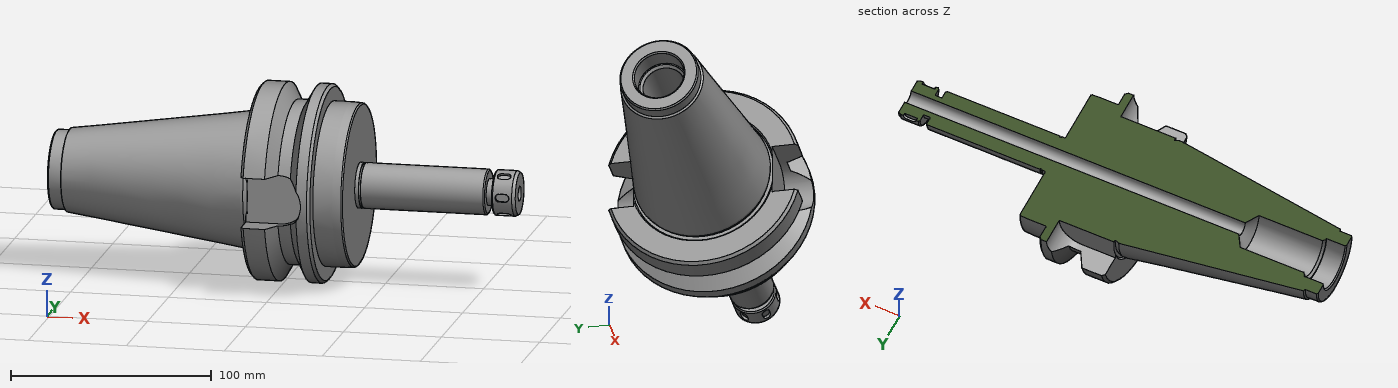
import cadquery as cq
import math

taper_start = 7.3
gauge_line = 101.8
land_end = 103.0
flange_face = 104.7
flange_end = 140.2
collar_land_end = 150.1
collar_end = 155.0
shank_end = 221.2
nut_start = 224.7
overall_length = 236.8

pilot_radius = 40.0 / 2
gauge_radius = 69.9 / 2
taper_slope = 7 / 48
neck_radius = 34.0
flange_radius = 100.0 / 2
vee_root_radius = 41.5
collar_radius = 41.5
collar_tip_radius = 41.2
shank_radius = 23.0 / 2
collet_neck_radius = 13.5 / 2

vee_root_start = 122.0
vee_root_end = 128.3
vee_flank_angle = 30
vee_flank_run = (flange_radius - vee_root_radius) * math.tan(math.radians(vee_flank_angle))

edge_chamfer = 0.7
taper_step_run = 0.5
flange_chamfer = 1.5
nut_tip_length = 1.7
nut_tip_drop = 1.0
face_relief_radius = 36.7
face_relief_depth = 0.7
shank_groove_start = 157.0
shank_groove_width = 1.0
shank_groove_depth = 0.5

bore_mouth_radius = 25.3 / 2
bore_mouth_depth = 11.0
thread_radius = 21.3 / 2
thread_step_radius = 24.0 / 2
thread_end = 47.4
drill_point_angle = 118
coolant_radius = 7.3 / 2

slot_width = 25.8
slot_floor = 70.8 / 2
slot_tip = 135.7

wrench_slot_count = 6
wrench_slot_center = 230.2
wrench_slot_length = 6.9
wrench_slot_width = 4.0
wrench_slot_depth = 1.5


def revolve_about_x(points):
    """Revolve a closed (axial position, radius) outline about the X axis."""
    return cq.Workplane("XY").polyline(points).close().revolve(360, (0, 0, 0), (1, 0, 0))


def turned_body():
    taper_start_radius = gauge_radius - (gauge_line - taper_start) * taper_slope
    shank_groove_end = shank_groove_start + shank_groove_width
    shank_groove_radius = shank_radius - shank_groove_depth
    return revolve_about_x([
        (0, 0),
        (0, pilot_radius - edge_chamfer),
        (edge_chamfer, pilot_radius),
        (taper_start - taper_step_run, pilot_radius),
        (taper_start, taper_start_radius),
        (gauge_line, gauge_radius),
        (land_end, gauge_radius),
        (flange_face + face_relief_depth, neck_radius),
        (flange_face + face_relief_depth, face_relief_radius - face_relief_depth),
        (flange_face, face_relief_radius),
        (flange_face, flange_radius - flange_chamfer),
        (flange_face + flange_chamfer, flange_radius),
        (vee_root_start - vee_flank_run, flange_radius),
        (vee_root_start, vee_root_radius),
        (vee_root_end, vee_root_radius),
        (vee_root_end + vee_flank_run, flange_radius),
        (flange_end - flange_chamfer, flange_radius),
        (flange_end, flange_radius - flange_chamfer),
        (flange_end, collar_radius),
        (collar_land_end, collar_radius),
        (collar_end - edge_chamfer, collar_tip_radius),
        (collar_end, collar_tip_radius - edge_chamfer),
        (collar_end, shank_radius),
        (shank_groove_start, shank_radius),
        (shank_groove_start, shank_groove_radius),
        (shank_groove_end, shank_groove_radius),
        (shank_groove_end, shank_radius),
        (shank_end - edge_chamfer, shank_radius),
        (shank_end, shank_radius - edge_chamfer),
        (shank_end, collet_neck_radius),
        (nut_start, collet_neck_radius),
        (nut_start, shank_radius - edge_chamfer),
        (nut_start + edge_chamfer, shank_radius),
        (overall_length - nut_tip_length, shank_radius),
        (overall_length, shank_radius - nut_tip_drop),
        (overall_length, 0),
    ])


def drawbar_bore():
    cone_length = (thread_radius - coolant_radius) / math.tan(math.radians(drill_point_angle / 2))
    thread_start = bore_mouth_depth + thread_step_radius - thread_radius
    return revolve_about_x([
        (0, 0),
        (0, bore_mouth_radius + edge_chamfer),
        (edge_chamfer, bore_mouth_radius),
        (bore_mouth_depth, bore_mouth_radius),
        (bore_mouth_depth, thread_step_radius),
        (thread_start, thread_radius),
        (thread_end, thread_radius),
        (thread_end + cone_length, coolant_radius),
        (overall_length, coolant_radius),
        (overall_length, 0),
    ])


def drive_slot(side):
    """Round-ended slot open toward the taper, on the side given by the sign of Y."""
    arc_center = slot_tip - slot_width / 2
    half_width = slot_width / 2
    return (
        cq.Workplane("XZ", origin=(0, side * slot_floor, 0))
        .moveTo(land_end, -half_width)
        .lineTo(arc_center, -half_width)
        .threePointArc((slot_tip, 0), (arc_center, half_width))
        .lineTo(land_end, half_width)
        .close()
        .extrude(-side * flange_radius)
    )


def wrench_slot(angle):
    """Cutter for an obround pocket in the nut, at an angle about X measured from -Y."""
    return (
        cq.Workplane("XZ", origin=(wrench_slot_center, wrench_slot_depth - shank_radius, 0))
        .slot2D(wrench_slot_length, wrench_slot_width)
        .extrude(shank_radius)
        .rotate((0, 0, 0), (1, 0, 0), angle)
    )


result = turned_body().cut(drawbar_bore())

for side in (-1, 1):
    result = result.cut(drive_slot(side))

for index in range(wrench_slot_count):
    result = result.cut(wrench_slot(index * 360 / wrench_slot_count))